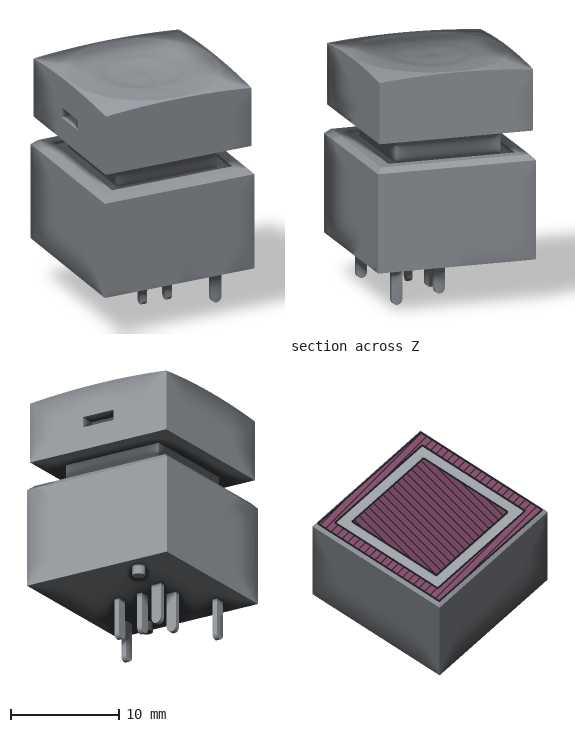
import cadquery as cq
import math


housing_width = 15.4
housing_height = 10.0
housing_chamfer = 0.5
recess_width = 12.4
recess_depth = 0.31

peg_diameter = 1.2
peg_length = 0.9
peg_x = 3.5
peg_y = 6.0

pin_length = 3.85
pin_width = 1.0
pin_thickness = 0.52
pin_pitch = 2.5
contact_offset = 1.28

total_height = 22.4
cap_width = 15.0
base_plate_height = 0.67
base_plate_bottom = 12.3
stem_width = 10.24

dome_radius = 78.4
dish_diameter = 14.38
corner_margin = 0.22

slot_width = 3.35
slot_height = 1.0
slot_depth = 1.5
slot_rise = 1.55

recess_floor = housing_height - recess_depth
cap_bottom = base_plate_bottom + base_plate_height
rim_level = total_height - pin_length


def square_block(width, bottom, top):
    """Square block centred on the Z axis between two levels."""
    return cq.Workplane("XY").workplane(offset=bottom).rect(width, width).extrude(top - bottom)


def make_housing():
    body = square_block(housing_width, 0, housing_height)
    body = body.faces(">Z").edges().chamfer(housing_chamfer)
    body = body.cut(square_block(recess_width, recess_floor, housing_height))
    pegs = (
        cq.Workplane("XY")
        .pushPoints([(-peg_x, peg_y), (peg_x, -peg_y)])
        .circle(peg_diameter / 2)
        .extrude(-peg_length)
    )
    return body.union(pegs)


def dome_drop(radius):
    """Depth of a dome_radius arc below its apex at a distance from the Z axis."""
    return dome_radius - math.sqrt(dome_radius**2 - radius**2)


def make_domed_envelope():
    """Turned solid whose top is the dish inside the rim and the dome outside it."""
    rim_radius = dish_diameter / 2
    outer_radius = cap_width / math.sqrt(2) + corner_margin
    dome_mid_radius = (rim_radius + outer_radius) / 2
    dish_mid_radius = rim_radius / 2
    dome_apex = rim_level + dome_drop(rim_radius)
    dish_bottom = rim_level - dome_drop(rim_radius)
    return (
        cq.Workplane("XZ")
        .moveTo(0, cap_bottom)
        .lineTo(outer_radius, cap_bottom)
        .lineTo(outer_radius, dome_apex - dome_drop(outer_radius))
        .threePointArc((dome_mid_radius, dome_apex - dome_drop(dome_mid_radius)), (rim_radius, rim_level))
        .threePointArc((dish_mid_radius, dish_bottom + dome_drop(dish_mid_radius)), (0, dish_bottom))
        .close()
        .revolve(360, (0, 0, 0), (0, 1, 0))
    )


def make_cap():
    body = square_block(cap_width, cap_bottom, total_height).intersect(make_domed_envelope())
    slot = cq.Workplane("XY").box(slot_width, slot_depth, slot_height, centered=(True, False, False))
    return body.cut(slot.translate((0, -cap_width / 2, cap_bottom + slot_rise)))


def make_pin(x, y, turned):
    """Flat pin with a round tip, broad along X, or along Y when turned."""
    tip_radius = pin_width / 2
    straight_end = tip_radius - pin_length
    pin = (
        cq.Workplane("XZ")
        .moveTo(-tip_radius, 0)
        .lineTo(-tip_radius, straight_end)
        .threePointArc((0, -pin_length), (tip_radius, straight_end))
        .lineTo(tip_radius, 0)
        .close()
        .extrude(pin_thickness / 2, both=True)
    )
    if turned:
        pin = pin.rotate((0, 0, 0), (0, 0, 1), 90)
    return pin.translate((x, y, 0))


housing = make_housing()
stem = square_block(stem_width, recess_floor, base_plate_bottom)
base_plate = square_block(cap_width, base_plate_bottom, cap_bottom)
cap = make_cap()

pin_places = [
    (-2 * pin_pitch, 2 * pin_pitch, True),
    (2 * pin_pitch, 2 * pin_pitch, True),
    (-pin_pitch, 0, True),
    (0, 0, True),
    (pin_pitch, contact_offset, False),
    (pin_pitch, -contact_offset, False),
]
pins = [make_pin(x, y, turned) for x, y, turned in pin_places]

result = cq.Compound.makeCompound(
    [housing.val(), stem.val(), base_plate.val(), cap.val(), *[pin.val() for pin in pins]]
)